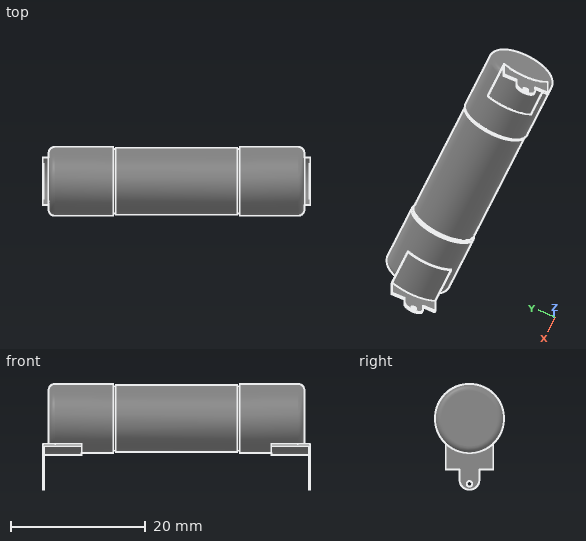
import cadquery as cq
import math

cap_diameter = 10.3
cap_round = 1.0
tube_diameter = 10.0
groove_radius = 4.8
groove_width = 0.35
body_half_length = 19.02
cap_length = 9.65

overall_length = 39.8
overall_height = 15.75
sheet = 0.28
bend_round = 0.2
terminal_half_width = 3.55
cradle_length = 5.8
plate_bottom = -7.6
tab_width = 3.0
hole_diameter = 0.8
hole_height = -9.7

cap_radius = cap_diameter / 2
overall_half_length = overall_length / 2
tab_bottom = cap_radius - overall_height
cap_inner_x = body_half_length - cap_length
tube_half_length = cap_inner_x - groove_width


def section_at(start_x):
    """Empty sketch plane across the fuse axis at the given X position."""
    return cq.Workplane("YZ", origin=(start_x, 0, 0))


def cylinder_along_x(radius, start, end):
    return section_at(start).circle(radius).extrude(end - start)


def make_cap():
    """End cap on the +X side with a rounded outer rim."""
    cap = cylinder_along_x(cap_radius, cap_inner_x, body_half_length)
    return cap.faces(">X").edges().fillet(cap_round)


def height_on_arc(radius):
    """Height of a circle's underside at the terminal's side edges."""
    return -math.sqrt(radius**2 - terminal_half_width**2)


def make_cradle():
    """Curved strip hugging the underside of the cap, with vertical side edges."""
    outer_radius = cap_radius + sheet
    inner_height = height_on_arc(cap_radius)
    outer_height = height_on_arc(outer_radius)
    return (
        section_at(overall_half_length - cradle_length)
        .moveTo(-terminal_half_width, inner_height)
        .threePointArc((0, -cap_radius), (terminal_half_width, inner_height))
        .lineTo(terminal_half_width, outer_height)
        .threePointArc((0, -outer_radius), (-terminal_half_width, outer_height))
        .close()
        .extrude(cradle_length)
    )


def make_plate():
    """Upright end plate with a round-ended solder tab and its wire hole."""
    tab_radius = tab_width / 2
    tab_arc_center = tab_bottom + tab_radius
    plate_top = height_on_arc(cap_radius)
    return (
        section_at(overall_half_length - sheet)
        .moveTo(-terminal_half_width, plate_top)
        .threePointArc((0, -cap_radius), (terminal_half_width, plate_top))
        .lineTo(terminal_half_width, plate_bottom)
        .lineTo(tab_radius, plate_bottom)
        .lineTo(tab_radius, tab_arc_center)
        .threePointArc((0, tab_bottom), (-tab_radius, tab_arc_center))
        .lineTo(-tab_radius, plate_bottom)
        .lineTo(-terminal_half_width, plate_bottom)
        .close()
        .moveTo(0, hole_height)
        .circle(hole_diameter / 2)
        .extrude(sheet)
    )


def make_terminal():
    """Cradle and plate joined by a bend that is rounded on the outside."""
    terminal = make_cradle().union(make_plate())
    bend_edge = cq.selectors.NearestToPointSelector((overall_half_length, 0, -cap_radius))
    return terminal.faces(">X").edges(bend_edge).fillet(bend_round)


tube = cylinder_along_x(tube_diameter / 2, -tube_half_length, tube_half_length)
core = cylinder_along_x(groove_radius, -cap_inner_x, cap_inner_x)
capped_end = make_cap().union(make_terminal())

result = core.union(tube).union(capped_end).union(capped_end.mirror("YZ"))